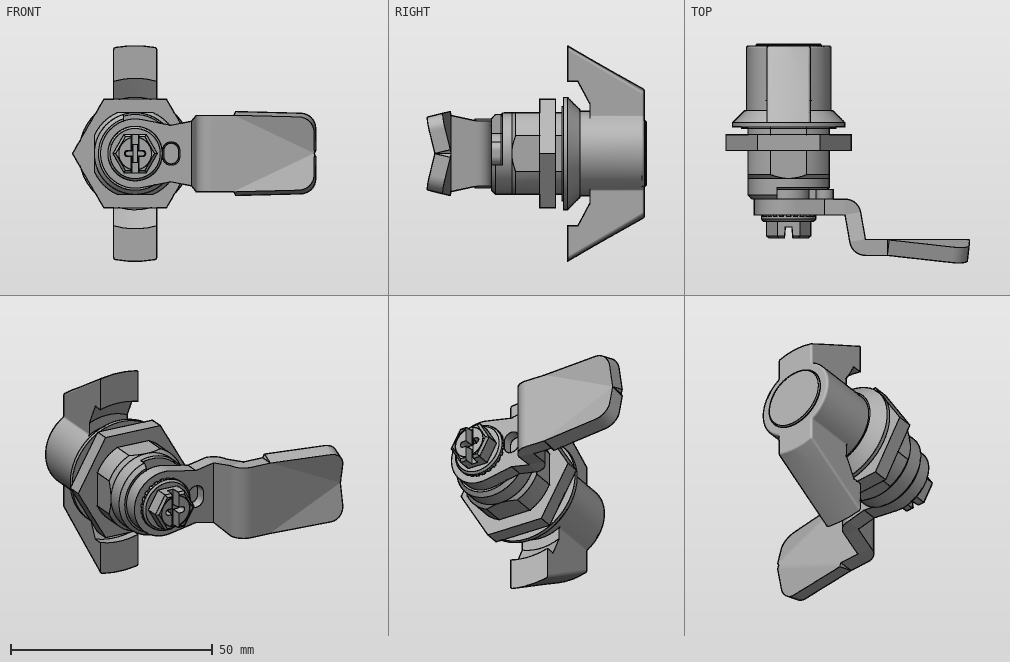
import cadquery as cq
import math


spindle_radius = 5.0
shank_radius = 3.0
stop_length = 5.8
stop_width = 4.3

hub_radius = 10.55
hub_top_y = 20.1
wing_half_width = 5.4
wing_top_radius = 15.95
wing_tip_radius = 26.85
wing_tip_y = 1.0
wing_relief_radius = 18.7
wing_relief_y = 3.6
wing_root_radius = 13.45
wing_bottom_y = 6.55
knob_rounding = 0.6
cap_radius = 8.2
cap_height = 0.5
cap_chamfer = 0.3
spindle_socket_depth = 6.0

flange_radius = 14.0
flange_rim_height = 1.0
flange_cone_height = 3.0
seat_y = flange_rim_height + flange_cone_height
thread_radius = 11.1
nose_radius = 20.3 / 2
thread_end_y = -11.9
nose_end_y = -17.95
nose_chamfer = 1.0
stop_notch_height = 2.4
stop_notch_chamfer = 0.4
stop_notch_wall = -stop_length / 2

gasket_radius = 11.75
gasket_thickness = 0.35

nut_across_flats = 27.0
nut_top_y = -1.95
nut_thickness = 4.0

cam_thickness = 4.0
cam_end_radius = 8.6
cam_front_y = nose_end_y - cam_thickness
neck_x = 8.9
neck_half_width = 7.0
first_bend_x = 14.0
first_bend_half_width = 8.05
leg_length = 6.85
leg_tilt = 10.0
paddle_half_width = 9.5
paddle_tip_half_width = 9.25
fold_start_x = 24.55
paddle_tip_x = 44.5
paddle_corner_radius = 3.75
fold_angle = 15.3
stop_x = 8.95
stop_recess_draft = 8.0

screw_flange_radius = 6.8
screw_flange_thickness = 1.6
screw_flange_chamfer = 0.55
serration_count = 24
serration_depth = 0.35
serration_width = 0.95
serration_inner_radius = 3.95
head_across_flats = 9.6
head_height = 4.2
head_chamfer = 0.6
dish_radius = 4.05
dish_depth = 0.3
slot_width = 2.05
slot_depth = 2.8
slot_draft = 5.0
recess_width = 1.65
recess_floor_width = 1.1
recess_cross_length = 5.35
recess_slot_length = 4.4
recess_extra_depth = 0.6
shank_end_y = -12.1


def turned(points):
    """Solid of revolution about the latch axis from (radius, y) points."""
    return cq.Workplane("XY").polyline(points).close().revolve(360, (0, 0), (0, 1))


def disc(radius, top_y, thickness):
    """Disc about the latch axis that reaches down from top_y."""
    return cq.Workplane("XZ", origin=(0, top_y, 0)).circle(radius).extrude(thickness)


def hexagon(across_flats, top_y, thickness):
    """Hexagonal prism about the latch axis with two corners on the X axis."""
    across_corners = across_flats / math.cos(math.radians(30))
    return cq.Workplane("XZ", origin=(0, top_y, 0)).polygon(6, across_corners).extrude(thickness)


def make_wings():
    """Two opposite wings: a turned profile trimmed to a slab of constant width."""
    wings = turned([
        (0, hub_top_y),
        (wing_top_radius, hub_top_y),
        (wing_tip_radius, wing_tip_y),
        (wing_relief_radius, wing_tip_y),
        (wing_relief_radius, wing_relief_y),
        (wing_root_radius, wing_bottom_y),
        (0, wing_bottom_y),
    ])
    slab_size = 4 * wing_tip_radius
    return wings.intersect(cq.Workplane("XY").box(2 * wing_half_width, slab_size, slab_size))


def round_knob_edges(knob):
    """Fillet the corners between wings and hub, then the top outline and the sloping wing edges."""
    corner_z = math.sqrt(hub_radius**2 - wing_half_width**2)
    slope_y = (hub_top_y + wing_tip_y) / 2
    slope_z = (wing_top_radius + wing_tip_radius) / 2
    corner_y = (hub_top_y + wing_bottom_y) / 2
    sides = [(x_sign * wing_half_width, z_sign) for x_sign in (-1, 1) for z_sign in (-1, 1)]

    for side_x, z_sign in sides:
        corner = cq.selectors.NearestToPointSelector((side_x, corner_y, z_sign * corner_z))
        knob = knob.edges("|Y").edges(corner).fillet(knob_rounding)

    outer_edges = knob.faces(">Y").edges()
    for side_x, z_sign in sides:
        slope = cq.selectors.NearestToPointSelector((side_x, slope_y, z_sign * slope_z))
        outer_edges = outer_edges.add(knob.edges(slope))
    return outer_edges.fillet(knob_rounding)


def make_knob():
    """Round hub with two opposite wings, a raised cap and a socket for the spindle."""
    hub = disc(hub_radius, hub_top_y, hub_top_y - seat_y)
    knob = round_knob_edges(hub.union(make_wings()))
    cap = disc(cap_radius, hub_top_y + cap_height, cap_height).faces(">Y").chamfer(cap_chamfer)
    socket = disc(spindle_radius, seat_y + spindle_socket_depth, spindle_socket_depth)
    return knob.union(cap).cut(socket)


def flatted_body():
    """Envelope of the housing below the flange: a round with four flats."""
    flats = cq.Workplane("XZ").rect(2 * nose_radius, 2 * nose_radius).extrude(-nose_end_y)
    return disc(thread_radius, 0, -nose_end_y).intersect(flats)


def make_stop_notch():
    """Quarter-turn notch that leaves the nose open towards +X and +Z,
    wide enough for the cam stop at each end of its travel, with a chamfered floor edge."""
    floor_y = nose_end_y + stop_notch_height
    size = 2 * nose_radius
    region = cq.Workplane("XY").box(size, size, size, centered=False)
    region = region.translate((stop_notch_wall, nose_end_y, stop_notch_wall))
    edge_radius = nose_radius - stop_notch_chamfer
    swept = turned([
        (0, nose_end_y),
        (size, nose_end_y),
        (size, floor_y + stop_notch_chamfer),
        (nose_radius, floor_y + stop_notch_chamfer),
        (edge_radius, floor_y),
        (0, floor_y),
    ])
    return region.intersect(swept)


def make_housing():
    """Conical flange, threaded body with four flats and a notched nose, bored for the spindle."""
    body = turned([
        (0, seat_y),
        (flange_radius - flange_cone_height, seat_y),
        (flange_radius, flange_rim_height),
        (flange_radius, 0),
        (thread_radius, 0),
        (thread_radius, thread_end_y),
        (nose_radius, thread_end_y - (thread_radius - nose_radius)),
        (nose_radius, nose_end_y + nose_chamfer),
        (nose_radius - nose_chamfer, nose_end_y),
        (0, nose_end_y),
    ])
    flange_envelope = disc(flange_radius, seat_y, seat_y)
    body = body.intersect(flatted_body().union(flange_envelope))
    bore = disc(spindle_radius, seat_y, seat_y - nose_end_y)
    return body.cut(make_stop_notch()).cut(bore)


def make_gasket():
    """Flat ring under the flange, keyed to the flatted body."""
    return disc(gasket_radius, 0, gasket_thickness).cut(flatted_body())


def make_nut():
    """Plain hexagon nut that fits the flatted body."""
    return hexagon(nut_across_flats, nut_top_y, nut_thickness).cut(flatted_body())


def make_spindle():
    """Round spindle from the knob socket to the cam, with a hole for the screw shank."""
    top_y = seat_y + spindle_socket_depth
    hole = disc(shank_radius, shank_end_y, shank_end_y - nose_end_y)
    return disc(spindle_radius, top_y, top_y - nose_end_y).cut(hole)


def make_stop_prism(face_y, draft):
    """Stop shape: an oblong along Z that rises from face_y and narrows by the draft angle."""
    return (
        cq.Workplane("XZ", origin=(stop_x, face_y, 0))
        .slot2D(stop_length, stop_width, 90)
        .extrude(-stop_notch_height, taper=draft)
    )


def make_cam_base():
    """Flat end of the cam: a round eye that narrows to a neck and widens to the first bend."""
    neck_distance = math.hypot(neck_x, neck_half_width)
    tangent_angle = math.atan2(neck_half_width, neck_x) + math.acos(cam_end_radius / neck_distance)
    tangent_x = cam_end_radius * math.cos(tangent_angle)
    tangent_z = cam_end_radius * math.sin(tangent_angle)
    return (
        cq.Workplane("XZ", origin=(0, nose_end_y, 0))
        .moveTo(tangent_x, tangent_z)
        .threePointArc((-cam_end_radius, 0), (tangent_x, -tangent_z))
        .lineTo(neck_x, -neck_half_width)
        .lineTo(first_bend_x, -first_bend_half_width)
        .lineTo(first_bend_x, first_bend_half_width)
        .lineTo(neck_x, neck_half_width)
        .close()
        .extrude(cam_thickness)
    )


def make_bend(x, y, half_width, start_angle):
    """Sharp inside bend: a sector about (x, y), one plate thickness in radius, swept clockwise."""
    sweep = 90 - leg_tilt

    def rim(angle):
        direction = math.radians(angle)
        return cam_thickness * math.cos(direction), cam_thickness * math.sin(direction)

    return (
        cq.Workplane("XY", origin=(x, y, -half_width))
        .lineTo(*rim(start_angle))
        .threePointArc(rim(start_angle - sweep / 2), rim(start_angle - sweep))
        .close()
        .extrude(2 * half_width)
    )


def make_leg():
    """Sloping leg between the bends, which widens towards the paddle."""
    tilt = math.radians(leg_tilt)
    plane = cq.Plane(
        origin=(first_bend_x, cam_front_y, 0),
        xDir=(math.sin(tilt), -math.cos(tilt), 0),
        normal=(math.cos(tilt), math.sin(tilt), 0),
    )
    return (
        cq.Workplane(plane)
        .polyline([
            (0, -first_bend_half_width),
            (leg_length, -paddle_half_width),
            (leg_length, paddle_half_width),
            (0, first_bend_half_width),
        ])
        .close()
        .extrude(cam_thickness)
    )


def make_paddle_corner(paddle_front_y):
    """The +Z corner of the paddle, folded forward about its diagonal with a sharp inside bend."""
    fold_start = (fold_start_x, paddle_front_y, paddle_half_width)
    fold_end = (paddle_tip_x, paddle_front_y, 0)
    flat = (
        cq.Workplane("XZ", origin=(0, paddle_front_y, 0))
        .polyline([
            (fold_start_x, paddle_half_width),
            (paddle_tip_x, paddle_tip_half_width),
            (paddle_tip_x, 0),
        ])
        .close()
        .extrude(-cam_thickness)
    )
    outer_corner = cq.selectors.NearestToPointSelector(
        (paddle_tip_x, paddle_front_y + cam_thickness / 2, paddle_tip_half_width)
    )
    flat = flat.edges(outer_corner).fillet(paddle_corner_radius)
    folded = flat.rotate(fold_start, fold_end, fold_angle)

    run_x = paddle_tip_x - fold_start_x
    fold_plane = cq.Plane(
        origin=fold_start,
        xDir=(run_x, 0, -paddle_half_width),
        normal=(paddle_half_width, 0, run_x),
    )
    bend = (
        cq.Workplane(fold_plane)
        .rect(math.hypot(run_x, paddle_half_width), cam_thickness, centered=False)
        .revolve(fold_angle, (0, 0), (1, 0))
    )
    return folded.union(bend)


def make_cam():
    """Cranked cam: eye with a pressed-out stop, two bends, and a paddle with folded corners."""
    tilt = math.radians(leg_tilt)
    second_bend_x = first_bend_x + leg_length * math.sin(tilt) + cam_thickness * math.cos(tilt)
    second_bend_y = cam_front_y - leg_length * math.cos(tilt) + cam_thickness * math.sin(tilt)
    paddle_front_y = second_bend_y - cam_thickness

    paddle = (
        cq.Workplane("XZ", origin=(0, second_bend_y, 0))
        .polyline([
            (second_bend_x, -paddle_half_width),
            (fold_start_x, -paddle_half_width),
            (paddle_tip_x, 0),
            (fold_start_x, paddle_half_width),
            (second_bend_x, paddle_half_width),
        ])
        .close()
        .extrude(cam_thickness)
    )
    cam = (
        make_cam_base()
        .union(make_bend(first_bend_x, cam_front_y, first_bend_half_width, 90))
        .union(make_leg())
        .union(make_bend(second_bend_x, second_bend_y, paddle_half_width, 270))
        .union(paddle)
    )
    corner = make_paddle_corner(paddle_front_y)
    cam = cam.union(corner).union(corner.mirror("XY"))
    cam = cam.union(make_stop_prism(nose_end_y, 0)).cut(make_stop_prism(cam_front_y, stop_recess_draft))
    return cam.cut(disc(shank_radius, nose_end_y, cam_thickness))


def make_screw():
    """Hexagon screw with a serrated flange, a dished end, a straight slot and a cross recess."""
    head_top_y = cam_front_y - screw_flange_thickness
    head_end_y = head_top_y - head_height
    screw = disc(screw_flange_radius, cam_front_y, screw_flange_thickness)
    screw = screw.faces("<Y").chamfer(screw_flange_chamfer)
    for index in range(serration_count):
        serration = cq.Workplane("XY").box(screw_flange_radius, 2 * serration_depth, serration_width)
        serration = serration.translate((serration_inner_radius + screw_flange_radius / 2, cam_front_y, 0))
        screw = screw.cut(serration.rotate((0, 0, 0), (0, 1, 0), index * 360 / serration_count))
    screw = screw.union(hexagon(head_across_flats, head_top_y, head_height).faces("<Y").chamfer(head_chamfer))

    end_face = cq.Workplane("XZ", origin=(0, head_end_y, 0))
    slot = end_face.rect(slot_width, 2 * screw_flange_radius).extrude(-slot_depth, taper=slot_draft)
    cross = end_face.slot2D(recess_cross_length, recess_width).extrude(-slot_depth, taper=slot_draft)
    deep = end_face.rect(recess_floor_width, recess_slot_length).extrude(-slot_depth - recess_extra_depth)
    shank = disc(shank_radius, shank_end_y, shank_end_y - cam_front_y)
    dish = end_face.circle(dish_radius).extrude(-dish_depth)
    return screw.cut(dish).cut(slot).cut(cross).cut(deep).union(shank)


knob = make_knob()
housing = make_housing()
gasket = make_gasket()
nut = make_nut()
spindle = make_spindle()
cam = make_cam()
screw = make_screw()

result = cq.Compound.makeCompound([
    knob.val(),
    housing.val(),
    gasket.val(),
    nut.val(),
    spindle.val(),
    cam.val(),
    screw.val(),
])